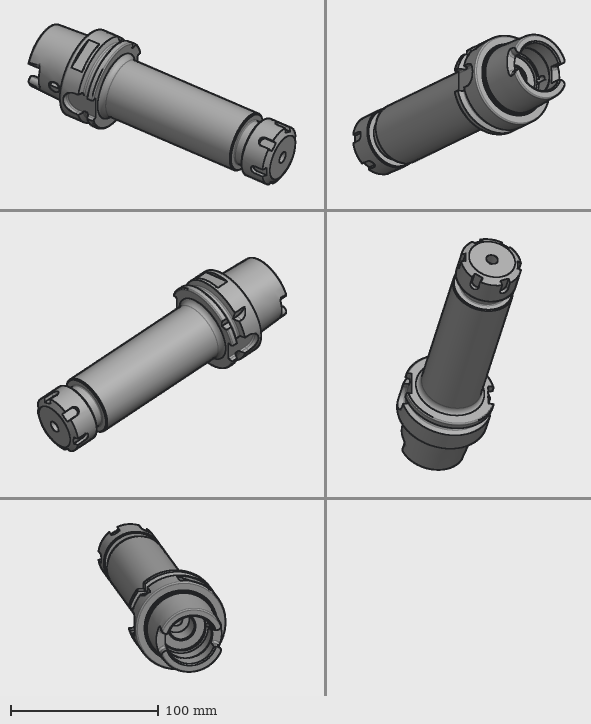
import cadquery as cq
import math

TOTAL_LENGTH = 192.0
THROUGH_BORE_DIA = 8.0

TAPER_END_RADIUS = 22.8
TAPER_BASE_RADIUS = 24.29
TAPER_LENGTH = 30.0
TAPER_END_FILLET = 1.0
RELIEF_RADIUS = 23.8
RELIEF_WIDTH = 1.5
FACE_RECESS_RADIUS = 25.3
FACE_RECESS_DEPTH = 0.5

FLANGE_RADIUS = 31.5
FLANGE_START = 31.9
FLANGE_END = 58.0
FLANGE_EDGE_FILLET = 1.0
GROOVE_CENTRE = 50.0
GROOVE_FLOOR_RADIUS = 27.5
GROOVE_FLOOR_WIDTH = 3.5
GROOVE_FLANK_ANGLE = 25.0
GROOVE_FILLET = 1.2

SHANK_RADIUS = 21.0
SHANK_END = 163.4
SHANK_FILLET = 5.0
SHANK_CHAMFER = 0.8
NOSE_RADIUS = 16.03
NOSE_FILLET = 0.5
NOSE_DEPTH_IN_NUT = 11.5

BORE_RADIUS = 17.0
BORE_DEPTH = 13.2
UNDERCUT_RADIUS = 17.7
UNDERCUT_ANGLE = 60.0
UNDERCUT_END = 26.0
BORE_MOUTH_RADIUS = 18.0
INNER_BORE_RADIUS = 16.03
INNER_BORE_DEPTH = 28.8
TUBE_BORE_RADIUS = 8.8
TUBE_BORE_MOUTH_RADIUS = 9.6
TUBE_BORE_DEPTH = 15.4

END_SLOT_HALF_WIDTH = 6.0
END_SLOT_ROUNDING = 3.5
END_SLOT_ROUNDING_TOP_RADIUS = 23.2
END_SLOT_FLOOR_FILLET = 1.5
FRONT_END_SLOT_DEPTH = 10.0
BACK_END_SLOT_DEPTH = 6.3

KEYWAY_START = 35.0
KEYWAY_FLOOR = 26.5
KEYWAY_FLOOR_FILLET = 1.0
FRONT_KEYWAY_WIDTH = 18.2
BACK_KEYWAY_WIDTH = 15.7
NOTCH_WALL_Y = 20.0
NOTCH_FLOOR_Z = 19.5
NOTCH_RUNOUT_RADIUS = 7.0
NOTCH_RUNOUT_CENTRE = 44.2
LABEL_FLAT_ANGLE = 22.0
LABEL_FLAT_DISTANCE = 29.2
LABEL_FLAT_START = 35.5
LABEL_FLAT_LENGTH = 8.5

ACCESS_HOLE_X = 22.8
ACCESS_SPOT_DIA = 8.6
ACCESS_SPOT_FLOOR = 23.5
ACCESS_HOLE_DIA = 7.5

NUT_START = 171.6
NUT_RADIUS = 21.0
NUT_BACK_CHAMFER = 0.8
NUT_CONE_LENGTH = 2.9
NUT_FACE_RADIUS = 16.03
NUT_SLOT_COUNT = 6
NUT_SLOT_WIDTH = 6.3
NUT_SLOT_START = 180.0
NUT_SLOT_FLOOR = 18.0

CLEARANCE = 9.6


def revolve_profile(profile):
    """Turn a closed (X, radius) outline about the X axis."""
    return profile.close().revolve(360, (0, 0, 0), (1, 0, 0))


def cylinder_x(radius, start, end):
    """Cylinder on the X axis between two X positions."""
    return cq.Workplane("YZ", origin=(start, 0, 0)).circle(radius).extrude(end - start)


def box_between(low, high):
    """Axis-parallel box spanned by two opposite corners."""
    size = [b - a for a, b in zip(low, high)]
    return cq.Workplane("XY").box(*size, centered=False).translate(low)


def round_ended_slot(start, end, width, floor):
    """Cutter for a radial slot on the -Y side, with a round end at `start` and a flat floor."""
    radius = width / 2
    return (
        cq.Workplane("XZ", origin=(0, -floor, 0))
        .moveTo(end, radius)
        .lineTo(start + radius, radius)
        .threePointArc((start, 0), (start + radius, -radius))
        .lineTo(end, -radius)
        .close()
        .extrude(CLEARANCE)
    )


def arbor_body():
    relief_depth = TAPER_BASE_RADIUS - RELIEF_RADIUS
    recess_end = FLANGE_START + FACE_RECESS_DEPTH
    shank_fillet_centre_y = SHANK_RADIUS + SHANK_FILLET
    shank_fillet_end = FLANGE_END + 0.9 * SHANK_FILLET
    flange_fillet_radius = shank_fillet_centre_y - math.sqrt(
        SHANK_FILLET**2 - (shank_fillet_end - FLANGE_END) ** 2
    )
    half_angle = math.asin((shank_fillet_end - FLANGE_END) / SHANK_FILLET) / 2
    shank_fillet_mid = (
        shank_fillet_end - SHANK_FILLET * math.sin(half_angle),
        shank_fillet_centre_y - SHANK_FILLET * math.cos(half_angle),
    )
    profile = (
        cq.Workplane("XY")
        .moveTo(0, 0)
        .lineTo(0, TAPER_END_RADIUS)
        .lineTo(TAPER_LENGTH, TAPER_BASE_RADIUS)
        .lineTo(TAPER_LENGTH + relief_depth, RELIEF_RADIUS)
        .lineTo(TAPER_LENGTH + RELIEF_WIDTH - relief_depth, RELIEF_RADIUS)
        .lineTo(TAPER_LENGTH + RELIEF_WIDTH, TAPER_BASE_RADIUS)
        .lineTo(recess_end, TAPER_BASE_RADIUS)
        .lineTo(recess_end, FACE_RECESS_RADIUS)
        .lineTo(FLANGE_START, FACE_RECESS_RADIUS)
        .lineTo(FLANGE_START, FLANGE_RADIUS - FLANGE_EDGE_FILLET)
        .radiusArc((FLANGE_START + FLANGE_EDGE_FILLET, FLANGE_RADIUS), FLANGE_EDGE_FILLET)
        .lineTo(FLANGE_END - FLANGE_EDGE_FILLET, FLANGE_RADIUS)
        .radiusArc((FLANGE_END, FLANGE_RADIUS - FLANGE_EDGE_FILLET), FLANGE_EDGE_FILLET)
        .lineTo(FLANGE_END, flange_fillet_radius)
        .threePointArc(shank_fillet_mid, (shank_fillet_end, SHANK_RADIUS))
        .lineTo(SHANK_END - SHANK_CHAMFER, SHANK_RADIUS)
        .lineTo(SHANK_END, SHANK_RADIUS - SHANK_CHAMFER)
        .lineTo(SHANK_END, NOSE_RADIUS + NOSE_FILLET)
        .radiusArc((SHANK_END + NOSE_FILLET, NOSE_RADIUS), -NOSE_FILLET)
        .lineTo(NUT_START + NOSE_DEPTH_IN_NUT, NOSE_RADIUS)
        .lineTo(NUT_START + NOSE_DEPTH_IN_NUT, 0)
    )
    body = revolve_profile(profile)
    return body.faces("<X").edges().fillet(TAPER_END_FILLET)


def gripper_groove():
    """Ring-shaped cutter with sloping flanks and a rounded floor."""
    half_floor = GROOVE_FLOOR_WIDTH / 2
    outer_radius = FLANGE_RADIUS + 2
    flank_run = (outer_radius - GROOVE_FLOOR_RADIUS) * math.tan(math.radians(GROOVE_FLANK_ANGLE))
    profile = (
        cq.Workplane("XY")
        .moveTo(GROOVE_CENTRE - half_floor, GROOVE_FLOOR_RADIUS)
        .lineTo(GROOVE_CENTRE + half_floor, GROOVE_FLOOR_RADIUS)
        .lineTo(GROOVE_CENTRE + half_floor + flank_run, outer_radius)
        .lineTo(GROOVE_CENTRE - half_floor - flank_run, outer_radius)
    )
    ring = revolve_profile(profile)
    floor_edges = cq.selectors.RadiusNthSelector(0)
    return ring.edges("%CIRCLE").edges(floor_edges).fillet(GROOVE_FILLET)


def inner_bores():
    mouth_chamfer = BORE_MOUTH_RADIUS - BORE_RADIUS
    tube_chamfer = TUBE_BORE_MOUTH_RADIUS - TUBE_BORE_RADIUS
    flare_run = (UNDERCUT_RADIUS - BORE_RADIUS) / math.tan(math.radians(UNDERCUT_ANGLE))
    through_radius = THROUGH_BORE_DIA / 2
    tube_end = INNER_BORE_DEPTH + TUBE_BORE_DEPTH
    profile = (
        cq.Workplane("XY")
        .moveTo(0, 0)
        .lineTo(0, BORE_MOUTH_RADIUS)
        .lineTo(mouth_chamfer, BORE_RADIUS)
        .lineTo(BORE_DEPTH, BORE_RADIUS)
        .lineTo(BORE_DEPTH + flare_run, UNDERCUT_RADIUS)
        .lineTo(UNDERCUT_END, UNDERCUT_RADIUS)
        .lineTo(UNDERCUT_END, INNER_BORE_RADIUS)
        .lineTo(INNER_BORE_DEPTH, INNER_BORE_RADIUS)
        .lineTo(INNER_BORE_DEPTH, TUBE_BORE_MOUTH_RADIUS)
        .lineTo(INNER_BORE_DEPTH + tube_chamfer, TUBE_BORE_RADIUS)
        .lineTo(tube_end, TUBE_BORE_RADIUS)
        .lineTo(tube_end, through_radius)
        .lineTo(TOTAL_LENGTH, through_radius)
        .lineTo(TOTAL_LENGTH, 0)
    )
    return revolve_profile(profile)


def end_slot(depth):
    """Cutter for a drive slot on the -Y side of the taper end; its walls round into the taper."""
    centre_z = END_SLOT_HALF_WIDTH + END_SLOT_ROUNDING
    centre_distance = END_SLOT_ROUNDING_TOP_RADIUS - END_SLOT_ROUNDING
    centre_y = math.sqrt(centre_distance**2 - centre_z**2)
    top_angle = math.asin(centre_z / centre_distance)
    mid_angle = (top_angle - math.pi / 2) / 2
    mid_y = centre_y + END_SLOT_ROUNDING * math.cos(mid_angle)
    mid_z = centre_z + END_SLOT_ROUNDING * math.sin(mid_angle)
    top_y = END_SLOT_ROUNDING_TOP_RADIUS * math.cos(top_angle)
    top_z = END_SLOT_ROUNDING_TOP_RADIUS * math.sin(top_angle)
    outer_y = top_y - CLEARANCE * math.sin(top_angle)
    outer_z = top_z + CLEARANCE * math.cos(top_angle)
    far_y = FLANGE_RADIUS
    cutter = (
        cq.Workplane("YZ", origin=(-CLEARANCE, 0, 0))
        .moveTo(0, END_SLOT_HALF_WIDTH)
        .lineTo(-centre_y, END_SLOT_HALF_WIDTH)
        .threePointArc((-mid_y, mid_z), (-top_y, top_z))
        .lineTo(-outer_y, outer_z)
        .lineTo(-far_y, outer_z)
        .lineTo(-far_y, -outer_z)
        .lineTo(-outer_y, -outer_z)
        .lineTo(-top_y, -top_z)
        .threePointArc((-mid_y, -mid_z), (-centre_y, -END_SLOT_HALF_WIDTH))
        .lineTo(0, -END_SLOT_HALF_WIDTH)
        .close()
        .extrude(CLEARANCE + depth)
    )
    return cutter.faces(">X").edges("not |Z").fillet(END_SLOT_FLOOR_FILLET)


def orientation_notch():
    """Corner notch on the +Y, +Z side of the flange, running out along a curve toward the taper."""
    top = NOTCH_FLOOR_Z + NOTCH_RUNOUT_RADIUS
    straight = box_between(
        (NOTCH_RUNOUT_CENTRE, NOTCH_WALL_Y, NOTCH_FLOOR_Z),
        (FLANGE_END, FLANGE_RADIUS, top),
    )
    runout = (
        cq.Workplane("XZ", origin=(NOTCH_RUNOUT_CENTRE, NOTCH_WALL_Y, top))
        .circle(NOTCH_RUNOUT_RADIUS)
        .extrude(NOTCH_WALL_Y - FLANGE_RADIUS)
    )
    return straight.union(runout)


def label_flat():
    """Cutter for the rectangular flat, tilted from +Z toward -Y."""
    block = box_between(
        (LABEL_FLAT_START, -FLANGE_RADIUS, LABEL_FLAT_DISTANCE),
        (LABEL_FLAT_START + LABEL_FLAT_LENGTH, FLANGE_RADIUS, FLANGE_RADIUS + CLEARANCE),
    )
    return block.rotate((0, 0, 0), (1, 0, 0), LABEL_FLAT_ANGLE)


def access_hole():
    """Shallow round spot on the -Y side whose upper half continues into the taper bore."""
    spot = (
        cq.Workplane("XZ", origin=(ACCESS_HOLE_X, -ACCESS_SPOT_FLOOR, 0))
        .circle(ACCESS_SPOT_DIA / 2)
        .extrude(CLEARANCE)
    )
    hole_radius = ACCESS_HOLE_DIA / 2
    half_hole = (
        cq.Workplane("XZ", origin=(ACCESS_HOLE_X, 0, 0))
        .moveTo(-hole_radius, 0)
        .threePointArc((0, hole_radius), (hole_radius, 0))
        .close()
        .extrude(FLANGE_RADIUS)
    )
    return spot.union(half_hole)


def keyway(width):
    """Cutter for a flange keyway on the -Y side, with rounded floor edges and an open +X end."""
    slot = round_ended_slot(KEYWAY_START, FLANGE_END + CLEARANCE, width, KEYWAY_FLOOR)
    return slot.faces(">Y").edges().fillet(KEYWAY_FLOOR_FILLET)


def make_arbor():
    half_turn = ((0, 0, 0), (1, 0, 0), 180)
    cutters = [
        gripper_groove(),
        inner_bores(),
        end_slot(FRONT_END_SLOT_DEPTH),
        end_slot(BACK_END_SLOT_DEPTH).rotate(*half_turn),
        keyway(FRONT_KEYWAY_WIDTH),
        keyway(BACK_KEYWAY_WIDTH).rotate(*half_turn),
        orientation_notch(),
        label_flat(),
        access_hole(),
    ]
    arbor = arbor_body()
    for cutter in cutters:
        arbor = arbor.cut(cutter)
    return arbor


def make_nut():
    """Slotted clamping nut seated on the nose of the arbor."""
    profile = (
        cq.Workplane("XY")
        .moveTo(NUT_START, 0)
        .lineTo(NUT_START, NUT_RADIUS - NUT_BACK_CHAMFER)
        .lineTo(NUT_START + NUT_BACK_CHAMFER, NUT_RADIUS)
        .lineTo(TOTAL_LENGTH - NUT_CONE_LENGTH, NUT_RADIUS)
        .lineTo(TOTAL_LENGTH, NUT_FACE_RADIUS)
        .lineTo(TOTAL_LENGTH, 0)
    )
    nut = revolve_profile(profile)
    nut = nut.cut(cylinder_x(NOSE_RADIUS, NUT_START, NUT_START + NOSE_DEPTH_IN_NUT))
    nut = nut.cut(cylinder_x(THROUGH_BORE_DIA / 2, NUT_START, TOTAL_LENGTH))
    slot = round_ended_slot(NUT_SLOT_START, TOTAL_LENGTH, NUT_SLOT_WIDTH, NUT_SLOT_FLOOR)
    for index in range(NUT_SLOT_COUNT):
        nut = nut.cut(slot.rotate((0, 0, 0), (1, 0, 0), index * 360 / NUT_SLOT_COUNT))
    return nut


arbor = make_arbor()
nut = make_nut()

result = cq.Compound.makeCompound([arbor.val(), nut.val()])